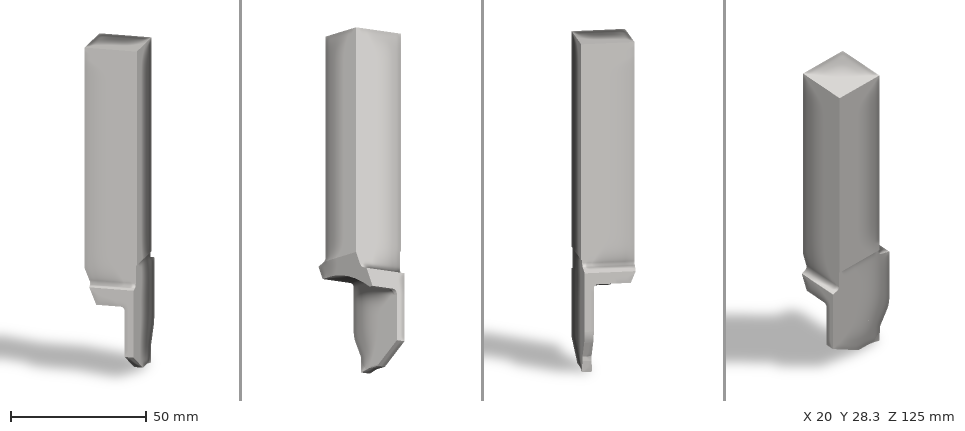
import cadquery as cq
import math


shank_size = 20.0
overall_length = 125.0

overall_depth = 28.3
head_y_min = -3.0
head_y_max = head_y_min + overall_depth
head_relief = 0.4
head_relief_top_z = 42.8
shoulder_angle = 15.0
shoulder_fillet = 1.5
back_shoulder_z = 40.4
front_shoulder_z = 34.7
bevel_top_z = 40.1
bevel_angle = 22.6

foot_z = 0.8
foot_y_min = 9.8
foot_y_max = 15.2
foot_bevel_angle = 30.0
nose_angle = 30.0
nose_fillet = 9.0

blade_thickness = 3.4
blade_x_max = shank_size - head_relief
blade_x_min = blade_x_max - blade_thickness
step_top_z = 34.6
step_bottom_z = 27.4
step_arc_y_start = shank_size
step_arc_y_end = -1.15
step_fillet = 1.5

insert_angle = 21.5
insert_top_z = 11.9
insert_back_fillet = 4.0
insert_front_fillet = 1.8
insert_heel = (15.2, 0.8)
insert_tip = (shank_size, 0.0)
rake_top = (20.6, 4.3)
rim_point = (20.6, 6.1)
flare_end_share = 0.6
flare = 0.3

clearance = 10.0


def drop(run, angle):
    """Distance covered across a run at an angle to it."""
    return run * math.tan(math.radians(angle))


def prism(outline, x_min, x_max):
    """Solid with a closed Y-Z outline, from x_min to x_max."""
    return outline.extrude(x_max - x_min).translate((x_min, 0, 0))


def round_corner(body, y, z, radius):
    """Fillet the edge along X that passes nearest to a Y-Z point."""
    edge = cq.selectors.NearestToPointSelector((shank_size / 2, y, z))
    return body.edges("|X").edges(edge).fillet(radius)


def make_blank():
    """Shank and head, full thickness."""
    back_rim_z = back_shoulder_z - drop(head_y_max - shank_size, shoulder_angle)
    front_rim_z = front_shoulder_z - drop(-head_y_min, shoulder_angle)
    front_corner_z = foot_z + drop(foot_y_min - head_y_min, foot_bevel_angle)
    nose_z = rim_point[1] + (head_y_max - rim_point[0]) / math.tan(math.radians(nose_angle))
    outline = cq.Workplane("YZ").polyline([
        (0, overall_length),
        (0, front_shoulder_z),
        (head_y_min, front_rim_z),
        (head_y_min, front_corner_z),
        (foot_y_min, foot_z),
        (foot_y_max, foot_z),
        rim_point,
        (head_y_max, nose_z),
        (head_y_max, back_rim_z),
        (shank_size, back_shoulder_z),
        (shank_size, overall_length),
    ]).close()
    blank = prism(outline, 0, shank_size)
    blank = round_corner(blank, 0, front_shoulder_z, shoulder_fillet)
    blank = round_corner(blank, shank_size, back_shoulder_z, shoulder_fillet)
    return round_corner(blank, head_y_max, nose_z, nose_fillet)


def make_blade_clearance():
    """Space beside the blade, below the curved step, with a rounded inner corner."""
    y_run = step_arc_y_start - step_arc_y_end
    z_fall = step_top_z - step_bottom_z
    arc_radius = (y_run ** 2 + z_fall ** 2) / (2 * z_fall)
    half_sweep = math.asin(y_run / arc_radius) / 2
    arc_middle = (
        step_arc_y_start - arc_radius * math.sin(half_sweep),
        step_top_z - arc_radius * (1 - math.cos(half_sweep)),
    )
    outline = (
        cq.Workplane("YZ")
        .moveTo(head_y_max + clearance, step_top_z)
        .lineTo(step_arc_y_start, step_top_z)
        .threePointArc(arc_middle, (step_arc_y_end, step_bottom_z))
        .lineTo(step_arc_y_end, -clearance)
        .lineTo(head_y_max + clearance, -clearance)
        .close()
    )
    curved = prism(outline, -clearance, blade_x_min)
    step_edges = cq.selectors.BoxSelector(
        (blade_x_min - clearance / 2, step_arc_y_end, step_bottom_z - step_fillet),
        (blade_x_min + clearance / 2, head_y_max + clearance, step_top_z + step_fillet),
    )
    curved = curved.faces(">X").edges(step_edges).fillet(step_fillet)
    end_section = curved.faces("<Y").val()
    straight_run = step_arc_y_end - head_y_min + clearance
    straight = cq.Solid.extrudeLinear(end_section, cq.Vector(0, -straight_run, 0))
    return curved.union(cq.Workplane(straight))


def make_bevel_cut():
    """Wedge that slopes the -X side of the head."""
    bevel_reach = drop(bevel_top_z, bevel_angle)
    depth = overall_depth + 2 * clearance
    return (
        cq.Workplane("XZ", origin=(0, head_y_max + clearance, 0))
        .polyline([(0, bevel_top_z), (bevel_reach, 0), (-clearance, 0), (-clearance, bevel_top_z)])
        .close()
        .extrude(depth)
    )


def make_relief_cut():
    """Shallow slab that sets back the +X face of the head."""
    return cq.Workplane("XY").box(
        head_relief, overall_depth, head_relief_top_z, centered=False
    ).translate((blade_x_max, head_y_min, 0))


def make_flare(face_x, tip_x):
    """Tapered side of the cutting edge, widest at the tip."""
    flare_end = [t + flare_end_share * (h - t) for t, h in zip(insert_tip, insert_heel)]
    top = cq.Vector(face_x, *rake_top)
    end = cq.Vector(face_x, *flare_end)
    tip = cq.Vector(face_x, *insert_tip)
    wide_tip = cq.Vector(tip_x, *insert_tip)
    triangles = [(top, end, tip), (top, end, wide_tip), (end, tip, wide_tip), (tip, top, wide_tip)]
    faces = [cq.Face.makeFromWires(cq.Wire.makePolygon(t, close=True)) for t in triangles]
    return cq.Workplane(cq.Solid.makeSolid(cq.Shell.makeShell(faces)))


def make_insert():
    """Leaning insert, flush with the blade, with a wider cutting edge."""
    back_top_y = rim_point[0] - drop(insert_top_z - rim_point[1], insert_angle)
    front_top_y = insert_heel[0] - drop(insert_top_z - insert_heel[1], insert_angle)
    outline = cq.Workplane("YZ").polyline([
        insert_tip,
        rake_top,
        rim_point,
        (back_top_y, insert_top_z),
        (front_top_y, insert_top_z),
        insert_heel,
    ]).close()
    body = prism(outline, blade_x_min, blade_x_max)
    body = round_corner(body, back_top_y, insert_top_z, insert_back_fillet)
    body = round_corner(body, front_top_y, insert_top_z, insert_front_fillet)
    body = body.union(make_flare(blade_x_min, blade_x_min - flare))
    return body.union(make_flare(blade_x_max, blade_x_max + flare))


insert = make_insert()
holder = (
    make_blank()
    .cut(make_bevel_cut())
    .cut(make_blade_clearance())
    .cut(make_relief_cut())
    .cut(insert)
)

result = cq.Compound.makeCompound([holder.solids().val(), insert.solids().val()])